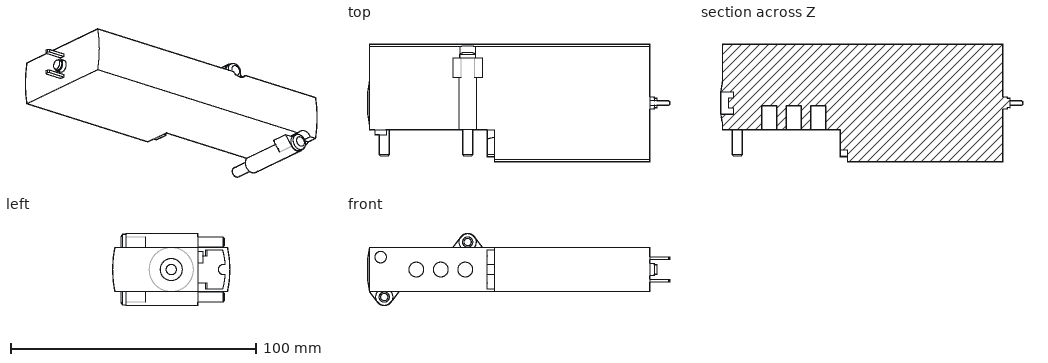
import cadquery as cq
import math


body_length = 114.5
body_depth = 48.0
body_height = 18.1
side_bulge = 1.0
port_face_y = -11.0
step_x = 51.0

seat_margin = 0.1
seat_diameter = body_height - seat_margin
seat_height = 0.7
bore_diameter = 9.0
bore_depth = 4.5
button_diameter = 4.2
button_height = 2.0

port_diameter = 6.0
port_depth = 9.9
port_pitch = 10.0
middle_port_x = 29.1
override_diameter = 4.7
override_height = 2.0
override_x = 4.6
override_z = 5.0

upper_screw_x = 40.1
lower_screw_x = 6.0
screw_z = 11.2
sleeve_diameter = 7.0
sleeve_end_y = 18.4
sleeve_recess = 0.1
head_diameter = 6.5
head_height = 2.2
head_taper_length = 0.7
head_taper_setback = 1.2
head_clearance_diameter = 7.7
shank_diameter = 4.2
shank_tip_diameter = 3.0
shank_tip_length = 0.6
shank_end_y = -21.7
lug_half_width = 6.0
lug_length = 7.9

key_length = 3.0
key_half_height = 8.0
key_front_y = -22.1
key_corner_y = -21.0
key_stem_half_height = 5.4
key_shoulder_y = -14.7
key_shoulder_rise = 0.7
key_notch_width = 4.2
key_notch_depth = 2.8

collar_diameter = 5.0
collar_length = 1.9
plug_diameter = 4.0
plug_length = 3.0
pin_length = 8.1
pin_width = 2.0
pin_thickness = 1.1
pin_z = 4.6
pin_tip_length = 0.6
pin_tip_setback = 0.4

half_depth = body_depth / 2
half_height = body_height / 2


def rod(x, z, diameter, y_from, y_to):
    """Cylinder parallel to Y between two Y positions."""
    axis_plane = cq.Plane(origin=(x, y_from, z), xDir=(1, 0, 0), normal=(0, 1, 0))
    return cq.Workplane(axis_plane).circle(diameter / 2).extrude(y_to - y_from)


def disc(x_from, x_to, diameter):
    """Cylinder on the main bore axis between two X positions."""
    return cq.Workplane("YZ", origin=(x_from, 0, 0)).circle(diameter / 2).extrude(x_to - x_from)


def make_body():
    edge_y = half_depth - side_bulge
    block = (
        cq.Workplane("YZ")
        .moveTo(-edge_y, -half_height)
        .lineTo(edge_y, -half_height)
        .threePointArc((half_depth, 0), (edge_y, half_height))
        .lineTo(-edge_y, half_height)
        .threePointArc((-half_depth, 0), (-edge_y, -half_height))
        .close()
        .extrude(body_length)
    )
    step_depth = port_face_y + half_depth
    step = cq.Workplane("XY").box(step_x, step_depth, body_height, centered=False)
    return block.cut(step.translate((0, -half_depth, -half_height)))


def make_seat():
    """Shallow cone around the bore mouth."""
    return (
        cq.Workplane("XY")
        .polyline([(0, 0), (0, seat_diameter / 2), (-seat_height, bore_diameter / 2), (-seat_height, 0)])
        .close()
        .revolve(360, (0, 0, 0), (1, 0, 0))
    )


def make_sleeve(x):
    """Sleeve with a pair of gusset flanks tangent to it and resting on the body top."""
    rise = screw_z - half_height
    radius = sleeve_diameter / 2
    foot_distance = math.hypot(lug_half_width, rise)
    tangent_angle = math.acos(radius / foot_distance) - math.atan2(rise, lug_half_width)
    tangent_x = radius * math.cos(tangent_angle)
    tangent_z = screw_z + radius * math.sin(tangent_angle)
    lug = (
        cq.Workplane("XZ", origin=(x, sleeve_end_y, 0))
        .polyline([
            (-lug_half_width, half_height),
            (lug_half_width, half_height),
            (tangent_x, tangent_z),
            (-tangent_x, tangent_z),
        ])
        .close()
        .extrude(lug_length)
    )
    return rod(x, screw_z, sleeve_diameter, port_face_y + sleeve_recess, sleeve_end_y).union(lug)


def make_screw(x):
    """Screw with a tapered head and a tapered tip."""
    head_end_y = sleeve_end_y + head_height
    head = (
        rod(x, screw_z, head_diameter, sleeve_end_y, head_end_y)
        .faces(">Y")
        .chamfer(head_taper_length, head_taper_setback)
    )
    shank = (
        rod(x, screw_z, shank_diameter, shank_end_y, sleeve_end_y)
        .faces("<Y")
        .chamfer(shank_tip_length, (shank_diameter - shank_tip_diameter) / 2)
    )
    return shank.union(head)


def make_key():
    wall_shoulder_y = key_shoulder_y + key_shoulder_rise
    front = (
        cq.Workplane("YZ", origin=(step_x - key_length, 0, 0))
        .moveTo(key_corner_y, -key_half_height)
        .lineTo(wall_shoulder_y, -key_half_height)
        .lineTo(wall_shoulder_y, key_half_height)
        .lineTo(key_corner_y, key_half_height)
        .threePointArc((key_front_y, 0), (key_corner_y, -key_half_height))
        .close()
        .extrude(key_length)
    )
    shoulder_wedge = (
        cq.Workplane("XY", origin=(0, 0, -key_half_height))
        .polyline([
            (step_x - key_length, key_shoulder_y),
            (step_x, wall_shoulder_y),
            (step_x - key_length, wall_shoulder_y),
        ])
        .close()
        .extrude(2 * key_half_height)
    )
    stem = cq.Workplane("XY").box(
        key_length, port_face_y - key_shoulder_y, 2 * key_stem_half_height, centered=(False, False, True)
    ).translate((step_x - key_length, key_shoulder_y, 0))
    notch = (
        cq.Workplane("YZ", origin=(step_x - key_length, key_front_y, 0))
        .slot2D(2 * key_notch_depth, key_notch_width)
        .extrude(key_length)
    )
    return front.cut(shoulder_wedge).union(stem).cut(notch)


def make_pin(z):
    tip_x = body_length + pin_length
    half_width = pin_width / 2
    return (
        cq.Workplane("XY", origin=(0, 0, z - pin_thickness / 2))
        .polyline([
            (body_length, -half_width),
            (tip_x - pin_tip_length, -half_width),
            (tip_x, -half_width + pin_tip_setback),
            (tip_x, half_width - pin_tip_setback),
            (tip_x - pin_tip_length, half_width),
            (body_length, half_width),
        ])
        .close()
        .extrude(pin_thickness)
    )


result = make_body().union(make_seat()).union(make_key())

result = result.cut(disc(-seat_height, bore_depth, bore_diameter))
result = result.union(disc(bore_depth - button_height, bore_depth, button_diameter))

for port_number in (-1, 0, 1):
    port_x = middle_port_x + port_number * port_pitch
    result = result.cut(rod(port_x, 0, port_diameter, port_face_y, port_face_y + port_depth))
result = result.union(
    rod(override_x, override_z, override_diameter, port_face_y - override_height, port_face_y)
)

for screw_x, underneath in ((upper_screw_x, False), (lower_screw_x, True)):
    clearance = rod(screw_x, screw_z, head_clearance_diameter, sleeve_end_y, half_depth)
    fastener = make_sleeve(screw_x).union(make_screw(screw_x))
    if underneath:
        clearance = clearance.mirror("XY")
        fastener = fastener.mirror("XY")
    result = result.cut(clearance).union(fastener)

result = result.union(disc(body_length, body_length + collar_length, collar_diameter))
result = result.union(disc(body_length, body_length + plug_length, plug_diameter))
for side in (-1, 1):
    result = result.union(make_pin(side * pin_z))